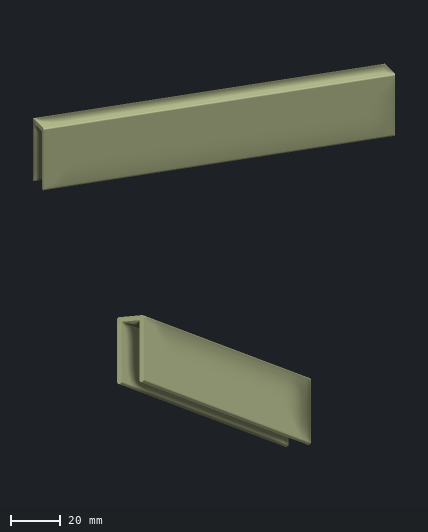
import cadquery as cq

length = 152.4
width = 12.0
height = 27.5
wall = 2.0
corner_radius = 0.8
lip_radius = 0.9

inner_width = width - 2 * wall
inner_height = height - wall

outer = cq.Workplane("XY").box(width, length, height, centered=(True, True, False))

slot = cq.Workplane("XY").box(inner_width, length, inner_height, centered=(True, True, False))
channel = outer.cut(slot)

channel = channel.faces(">Z").edges("|Y").fillet(corner_radius)

result = channel.faces("<Z").edges("|Y").fillet(lip_radius)